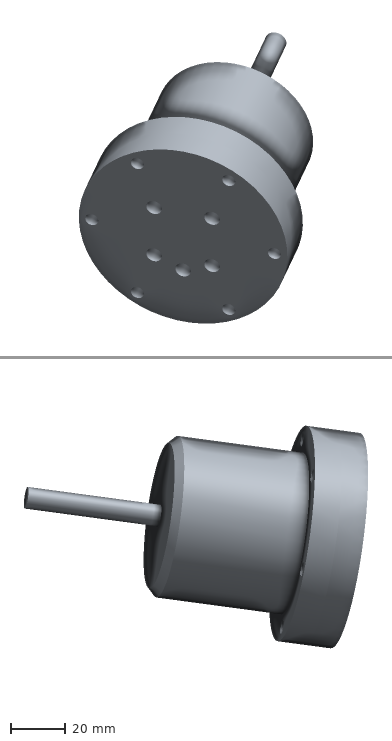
import cadquery as cq
import math

total_length = 120.0
flange_diameter = total_length * 2 / 3
plate_thickness = total_length / 12
barrel_diameter = total_length / 2
barrel_length = barrel_diameter * 5 / 6
barrel_chamfer = 3.0
rod_diameter = 8.0

bolt_count = 6
bolt_hole_diameter = 5.0
bolt_circle_radius = 35.0

port_hole_diameter = 6.0
port_circle_radius = 15.7
port_angles = [45, 135, 225, 270, 315]

front_y = -total_length / 2
joint_y = front_y + plate_thickness
flange_back_y = joint_y + plate_thickness
barrel_back_y = flange_back_y + barrel_length
rod_end_y = front_y + total_length

bolt_angles = [i * 360 / bolt_count for i in range(bolt_count)]


def cylinder(diameter, start_y, end_y, x=0, z=0):
    """Solid cylinder parallel to Y between two stations."""
    return cq.Workplane(
        cq.Solid.makeCylinder(
            diameter / 2, end_y - start_y, cq.Vector(x, start_y, z), cq.Vector(0, 1, 0)
        )
    )


def drill_circle(body, diameter, circle_radius, angles, start_y, end_y):
    """Cut a hole at each angle, measured from +X towards +Z."""
    for angle in angles:
        x = circle_radius * math.cos(math.radians(angle))
        z = circle_radius * math.sin(math.radians(angle))
        body = body.cut(cylinder(diameter, start_y, end_y, x, z))
    return body


def make_cover_plate():
    """Front disc with the mounting holes and the ports."""
    plate = cylinder(flange_diameter, front_y, joint_y)
    plate = drill_circle(
        plate, bolt_hole_diameter, bolt_circle_radius, bolt_angles, front_y, joint_y
    )
    return drill_circle(
        plate, port_hole_diameter, port_circle_radius, port_angles, front_y, joint_y
    )


def make_housing():
    """Flange, chamfered barrel and rear rod."""
    flange = cylinder(flange_diameter, joint_y, flange_back_y)
    flange = drill_circle(
        flange, bolt_hole_diameter, bolt_circle_radius, bolt_angles, joint_y, flange_back_y
    )
    barrel = cylinder(barrel_diameter, flange_back_y, barrel_back_y)
    barrel = barrel.faces(">Y").chamfer(barrel_chamfer)
    rod = cylinder(rod_diameter, barrel_back_y, rod_end_y)
    return flange.union(barrel).union(rod)


cover_plate = make_cover_plate()
housing = make_housing()

result = cq.Compound.makeCompound([cover_plate.val(), housing.val()])